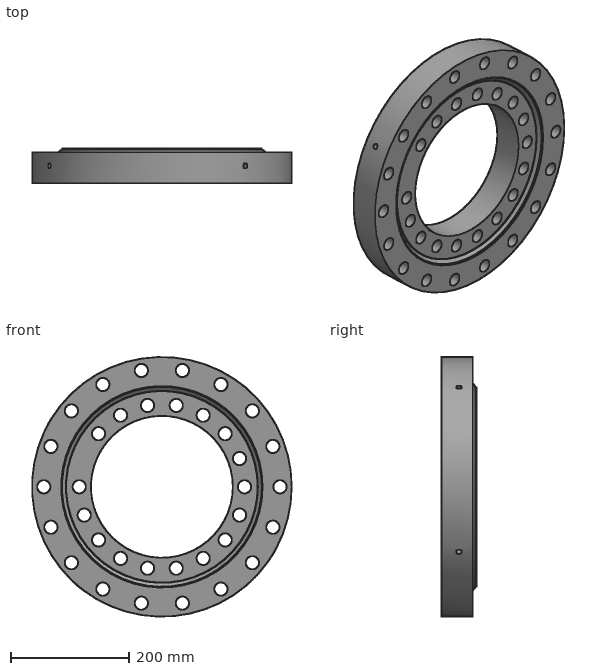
import cadquery as cq
import math

outer_diameter = 440.0
bore_diameter = 240.0
total_thickness = 60.0
ring_offset = 6.5
inner_ring_diameter = 338.0
running_clearance = 1.8

inner_ring_radius = inner_ring_diameter / 2
outer_ring_bore_radius = inner_ring_radius + running_clearance
outer_front = -total_thickness / 2
outer_back = total_thickness / 2 - ring_offset
inner_front = outer_front + ring_offset
inner_back = total_thickness / 2

hole_diameter = 22.0
hole_spacing = 20
outer_hole_circle = 400.0
inner_hole_circle = 280.0
hole_angles = range(0, 360, hole_spacing)
undrilled_angle = 160

grease_hole_diameter = 9.0
grease_hole_angles = [50, 150, 230, 330]

seal_width = 8.0
seal_height = 5.5
seal_land = 1.8
seal_depth = 2.5
seat_clearance = 1.0
seat_width = seal_width + seat_clearance
front_seat = outer_front + seal_depth + seal_height
back_seat = inner_back - seal_depth - seal_height


def ring(outer_radius, inner_radius, front, back):
    """Plain ring around the Y axis between two Y positions."""
    return (
        cq.Workplane("XZ", origin=(0, back, 0))
        .circle(outer_radius)
        .circle(inner_radius)
        .extrude(back - front)
    )


def mounting_holes(circle_diameter, angles):
    """Through-hole cutters parallel to Y on one hole circle."""
    radius = circle_diameter / 2
    centres = [
        (radius * math.cos(math.radians(angle)), radius * math.sin(math.radians(angle)))
        for angle in angles
    ]
    return (
        cq.Workplane("XZ", origin=(0, total_thickness / 2, 0))
        .pushPoints(centres)
        .circle(hole_diameter / 2)
        .extrude(total_thickness)
    )


def grease_hole(angle):
    """Radial cutter through the full wall of the outer ring."""
    direction = cq.Vector(math.cos(math.radians(angle)), 0, math.sin(math.radians(angle)))
    start = direction * inner_ring_radius
    length = outer_diameter / 2 - inner_ring_radius + grease_hole_diameter
    return cq.Workplane(cq.Solid.makeCylinder(grease_hole_diameter / 2, length, start, direction))


def make_outer_ring():
    """Outer ring with its mounting holes, back seal seat and grease holes."""
    body = ring(outer_diameter / 2, outer_ring_bore_radius, outer_front, outer_back)
    body = body.cut(mounting_holes(outer_hole_circle, hole_angles))
    body = body.cut(ring(inner_ring_radius + seat_width, inner_ring_radius, back_seat, outer_back))
    for angle in grease_hole_angles:
        body = body.cut(grease_hole(angle))
    return body


def make_inner_ring():
    """Inner ring with its mounting holes and front seal seat."""
    drilled_angles = [angle for angle in hole_angles if angle != undrilled_angle]
    body = ring(inner_ring_radius, bore_diameter / 2, inner_front, inner_back)
    body = body.cut(mounting_holes(inner_hole_circle, drilled_angles))
    seat = ring(
        outer_ring_bore_radius, outer_ring_bore_radius - seat_width, inner_front, front_seat
    )
    return body.cut(seat)


def make_seal(wall_radius, seat, outward, upward):
    """Bevelled seal ring resting on the seat at Y = seat and against the wall.

    outward is 1 if the seal lies outside wall_radius and -1 if inside it;
    upward is 1 if it rises from its seat towards +Y and -1 if towards -Y.
    """
    top = seat + upward * seal_height
    profile = [
        (wall_radius, seat),
        (wall_radius + outward * seal_width, seat),
        (wall_radius + outward * seal_land, top),
        (wall_radius, top),
    ]
    return cq.Workplane("XY").polyline(profile).close().revolve(360, (0, 0, 0), (0, 1, 0))


outer_ring = make_outer_ring()
inner_ring = make_inner_ring()
back_seal = make_seal(inner_ring_radius, back_seat, 1, 1)
front_seal = make_seal(outer_ring_bore_radius, front_seat, -1, -1)

result = cq.Compound.makeCompound(
    [outer_ring.val(), inner_ring.val(), back_seal.val(), front_seal.val()]
)